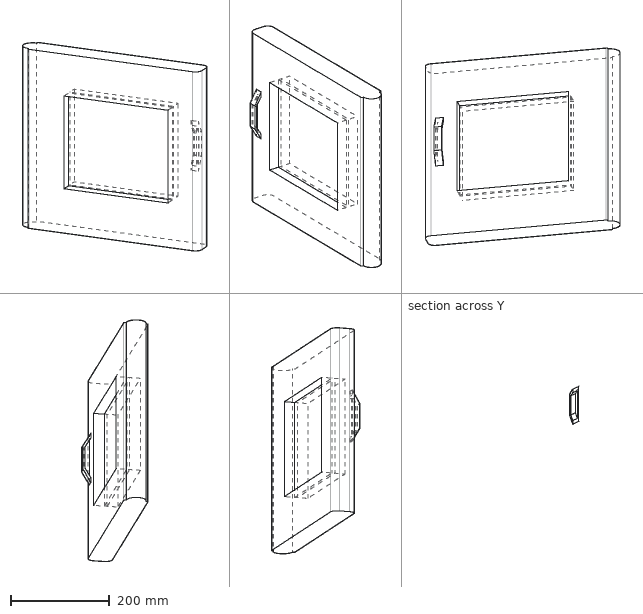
import cadquery as cq

door_width = 400.0
door_height = 380.0
door_thickness = 50.0
nose_radius = 20.0
shoulder_radius = 3.0
back_edge_radius = 14.5

window_left = 101.0
window_bottom = 94.5
window_width = 230.0
window_height = 197.0
window_recess = 22.0
pane_thickness = door_thickness - 2 * window_recess

handle_left = 360.0
handle_width = 16.0
handle_depth = 16.0
handle_base_length = 105.5
handle_top_length = 52.0
handle_center_z = 206.0
handle_wall = 4.0
cavity_base_length = 85.0
cavity_top_length = 46.5

door_middle_y = door_thickness / 2


def window_block(front_y, thickness):
    """Block that fills the window outline over the given thickness."""
    return cq.Workplane("XY").box(
        window_width, thickness, window_height, centered=False
    ).translate((window_left, front_y, window_bottom))


def make_door():
    """Slab with a half-round nose, rounded edges and a through window."""
    slab = (
        cq.Workplane("XY")
        .box(door_width - nose_radius, door_thickness, door_height, centered=False)
        .translate((nose_radius, 0, 0))
        .edges("|Z and <X").fillet(shoulder_radius)
        .edges("|Z and >X").fillet(back_edge_radius)
    )
    nose = (
        cq.Workplane("XY")
        .center(nose_radius, door_middle_y)
        .circle(nose_radius)
        .extrude(door_height)
    )
    return slab.union(nose).cut(window_block(0, door_thickness))


def make_pane():
    """Flat pane centred in the thickness of the door."""
    return window_block(window_recess, pane_thickness)


def trapezoid_prism(left_x, width, base_length, top_length, depth):
    """Prism along X whose trapezoid section stands on the +Y door face."""
    top_y = door_thickness + depth
    return (
        cq.Workplane("YZ", origin=(left_x, 0, handle_center_z))
        .moveTo(door_thickness, -base_length / 2)
        .lineTo(top_y, -top_length / 2)
        .lineTo(top_y, top_length / 2)
        .lineTo(door_thickness, base_length / 2)
        .close()
        .extrude(width)
    )


def make_handle():
    """Cup with a closed +X side and a finger cavity entered from -X."""
    body = trapezoid_prism(
        handle_left, handle_width, handle_base_length, handle_top_length, handle_depth
    )
    cavity = trapezoid_prism(
        handle_left,
        handle_width - handle_wall,
        cavity_base_length,
        cavity_top_length,
        handle_depth - handle_wall,
    )
    return body.cut(cavity)


door = make_door()
pane = make_pane()
handle = make_handle()

result = cq.Compound.makeCompound([door.val(), pane.val(), handle.val()])